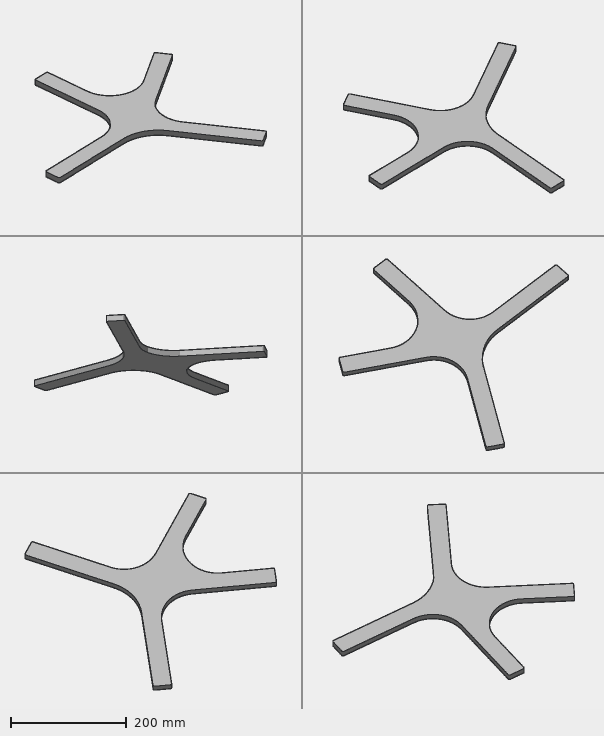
import cadquery as cq
import math

ARM_REACH = 224.0
ARM_WIDTH = 32.5
THICKNESS = 11.0
TIP_RADIUS = 3.0
WEB_RADIUS = 60.0
FRONT_WEB_RADIUS = 80.0

FRONT_ANGLE = 60
REAR_ANGLE = 150
FULL_TURN = 360
ARM_ANGLES = [FRONT_ANGLE, REAR_ANGLE, -REAR_ANGLE, -FRONT_ANGLE]


def arm(angle):
    """Straight bar from the hub centre, with rounded corners at its outer end."""
    return (
        cq.Workplane("XY")
        .center(ARM_REACH / 2, 0)
        .rect(ARM_REACH, ARM_WIDTH)
        .extrude(THICKNESS)
        .edges("|Z and >X")
        .fillet(TIP_RADIUS)
        .rotate((0, 0, 0), (0, 0, 1), angle)
    )


def fillet_inner_corner(body, first_angle, second_angle, radius):
    """Fillet the vertical edge where the sides of two neighbouring arms meet."""
    half_gap = math.radians(second_angle - first_angle) / 2
    bisector = math.radians(first_angle + second_angle) / 2
    distance = ARM_WIDTH / 2 / math.sin(half_gap)
    corner = (distance * math.cos(bisector), distance * math.sin(bisector), THICKNESS / 2)
    edge = cq.selectors.NearestToPointSelector(corner)
    return body.edges("|Z").edges(edge).fillet(radius)


result = arm(ARM_ANGLES[0])
for arm_angle in ARM_ANGLES[1:]:
    result = result.union(arm(arm_angle))

result = fillet_inner_corner(result, -FRONT_ANGLE, FRONT_ANGLE, FRONT_WEB_RADIUS)
result = fillet_inner_corner(result, FRONT_ANGLE, REAR_ANGLE, WEB_RADIUS)
result = fillet_inner_corner(result, REAR_ANGLE, FULL_TURN - REAR_ANGLE, WEB_RADIUS)
result = fillet_inner_corner(result, FULL_TURN - REAR_ANGLE, FULL_TURN - FRONT_ANGLE, WEB_RADIUS)